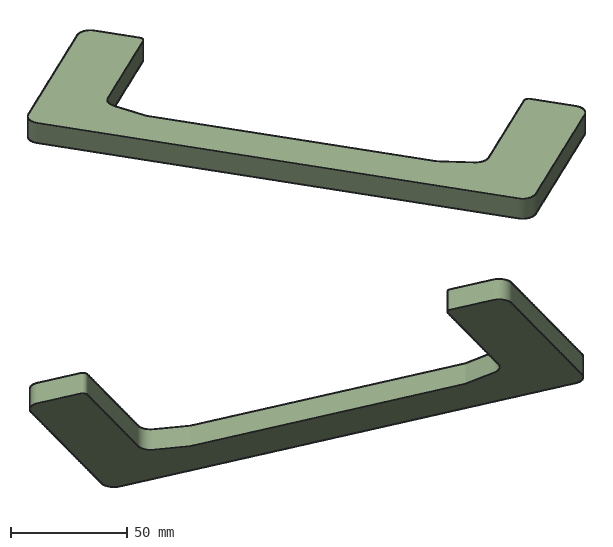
import cadquery as cq

length = 229.0
depth = 83.0
thickness = 10.0

leg_width = 28.6
bar_depth = 20.0
taper_length = 20.4
taper_rise = 5.0

outer_radius = 6.0
leg_tip_radius = 2.3
inner_radius = 6.0

half_length = length / 2
half_depth = depth / 2
inner_x = half_length - leg_width
bar_top = bar_depth - half_depth
taper_x = inner_x - taper_length
taper_top = bar_top + taper_rise

right_half = [
    (taper_x, bar_top),
    (inner_x, taper_top),
    (inner_x, half_depth),
    (half_length, half_depth),
    (half_length, -half_depth),
]
left_half = [(-x, y) for x, y in reversed(right_half)]

body = (
    cq.Workplane("XY")
    .polyline(right_half + left_half)
    .close()
    .extrude(thickness / 2, both=True)
)


def round_corners(solid, x, y, radius):
    """Round the vertical edges at (x, y) and at its mirror image (-x, y)."""
    for side in (-1, 1):
        edge = cq.selectors.NearestToPointSelector((side * x, y, 0))
        solid = solid.edges("|Z").edges(edge).fillet(radius)
    return solid


body = round_corners(body, half_length, -half_depth, outer_radius)
body = round_corners(body, half_length, half_depth, outer_radius)
body = round_corners(body, inner_x, half_depth, leg_tip_radius)
body = round_corners(body, inner_x, taper_top, inner_radius)

result = body